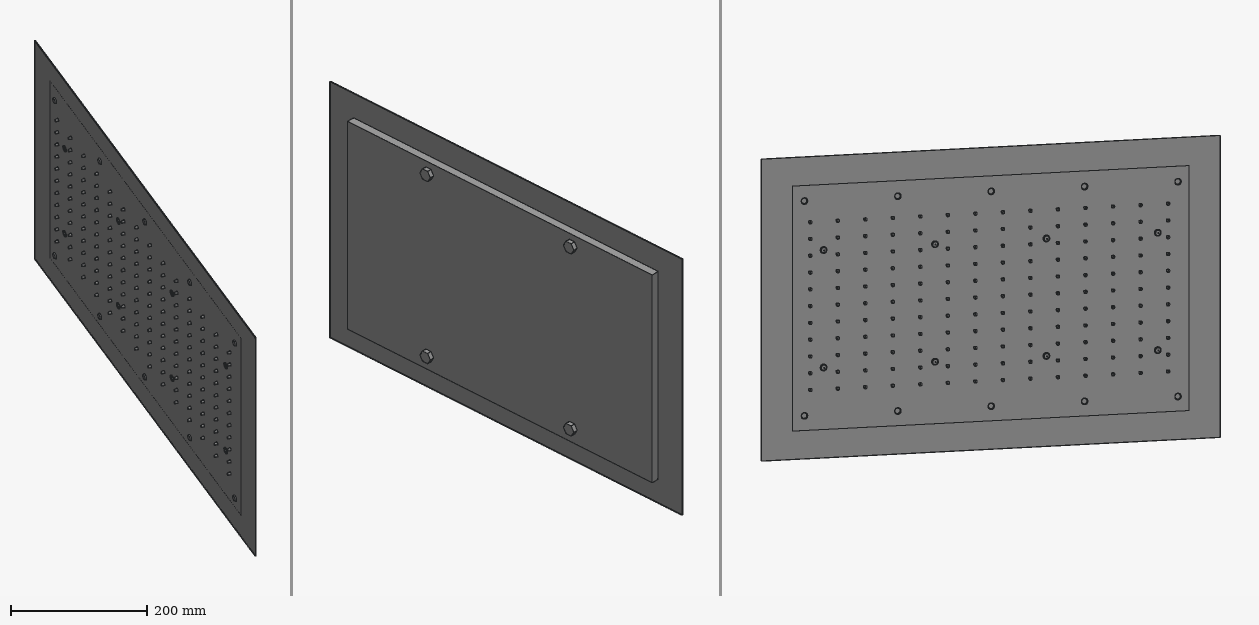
import cadquery as cq
plate_length = 700
plate_height = 450
plate_thickness = 1.5
plate_corner_radius = 1

box_length = 605
box_height = 365
box_back = 14.5

nozzle_columns = 14
nozzle_rows = 11
nozzle_column_pitch = 42
nozzle_row_pitch = 25
nozzle_base_diameter = 5
nozzle_tip_diameter = 3.2
nozzle_length = 4.5
nozzle_center_x = -2
nozzle_center_z = 2

screw_columns = 5
screw_rows = 2
screw_column_pitch = 142.5
screw_row_pitch = 320
screw_center_x = 1
screw_center_z = -1
screw_head_base_diameter = 10
screw_head_top_diameter = 8
screw_head_height = 2

nut_columns = 2
nut_rows = 2
nut_column_pitch = 2 * screw_column_pitch
nut_row_pitch = screw_row_pitch
nut_center_x = -0.5
nut_center_z = 3
nut_across_flats = 18
nut_back = 21.8

hole_columns = 4
hole_rows = 2
hole_column_pitch = 170
hole_row_pitch = 175
hole_center_x = 0
hole_center_z = -2.75
hole_mouth_diameter = 10
hole_mouth_depth = 1
hole_bore_diameter = 8
hole_bore_depth = 3
hole_pilot_diameter = 1
hole_pilot_depth = 5

box_depth = box_back - plate_thickness
nut_height = nut_back - box_back
nut_across_corners = nut_across_flats / 0.75**0.5


def front_facing_plane(y):
    """Workplane at the given Y whose normal points toward -Y; its axes are X and Z."""
    return cq.Workplane("XZ", origin=(0, y, 0))


def make_plate():
    plate = front_facing_plane(0).rect(plate_length, plate_height).extrude(-plate_thickness)
    return plate.edges("|Y").fillet(plate_corner_radius)


def make_box():
    return front_facing_plane(plate_thickness).rect(box_length, box_height).extrude(-box_depth)


def make_frusta(places, base_diameter, top_diameter, height):
    """Round frusta standing out of the front face toward -Y at the given workplane points."""
    frustum = cq.Solid.makeCone(base_diameter / 2, top_diameter / 2, height)
    return places.eachpoint(frustum, useLocalCoordinates=True)


def make_nozzles():
    places = (
        front_facing_plane(0)
        .center(nozzle_center_x, nozzle_center_z)
        .rarray(nozzle_column_pitch, nozzle_row_pitch, nozzle_columns, nozzle_rows)
    )
    return make_frusta(places, nozzle_base_diameter, nozzle_tip_diameter, nozzle_length)


def make_screw_heads():
    places = (
        front_facing_plane(0)
        .center(screw_center_x, screw_center_z)
        .rarray(screw_column_pitch, screw_row_pitch, screw_columns, screw_rows)
    )
    return make_frusta(places, screw_head_base_diameter, screw_head_top_diameter, screw_head_height)


def make_nuts():
    return (
        front_facing_plane(box_back)
        .center(nut_center_x, nut_center_z)
        .rarray(nut_column_pitch, nut_row_pitch, nut_columns, nut_rows)
        .polygon(6, nut_across_corners)
        .extrude(-nut_height)
    )


def make_hole_cutters(diameter, depth):
    return (
        front_facing_plane(0)
        .center(hole_center_x, hole_center_z)
        .rarray(hole_column_pitch, hole_row_pitch, hole_columns, hole_rows)
        .circle(diameter / 2)
        .extrude(-depth)
    )


body = make_plate().union(make_box())
body = body.cut(make_hole_cutters(hole_mouth_diameter, hole_mouth_depth))
body = body.cut(make_hole_cutters(hole_bore_diameter, hole_bore_depth))
body = body.cut(make_hole_cutters(hole_pilot_diameter, hole_pilot_depth))
body = body.union(make_nozzles())
body = body.union(make_screw_heads())
result = body.union(make_nuts())